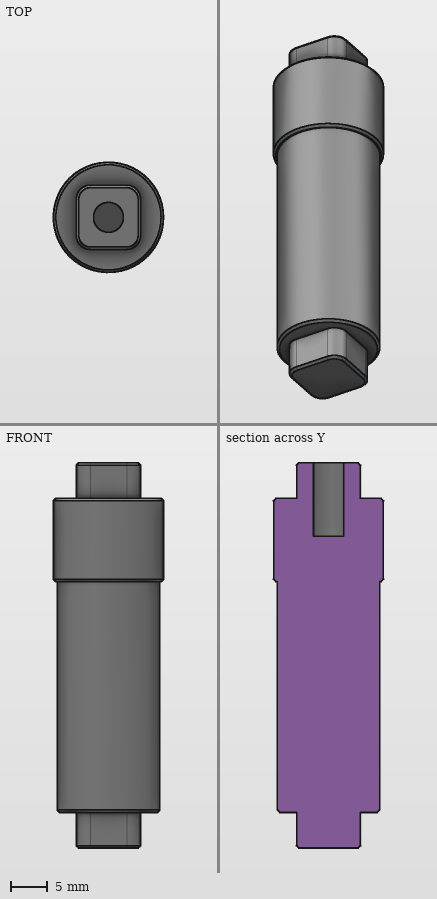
import cadquery as cq

total_height = 52.39
square_length = 4.83
collar_length = 11.37
collar_diameter = 15.0
body_diameter = 14.0
edge_chamfer = 0.35

square_width = 8.75
square_corner_radius = 1.9

hole_diameter = 4.07
hole_depth = 10.0

body_bottom = square_length
collar_top = total_height - square_length
collar_bottom = collar_top - collar_length


def turned_section(diameter, bottom, top):
    """Cylinder between two heights with both rims chamfered."""
    return (
        cq.Workplane("XY")
        .workplane(offset=bottom)
        .circle(diameter / 2)
        .extrude(top - bottom)
        .faces("<Z or >Z")
        .edges()
        .chamfer(edge_chamfer)
    )


def square_end(bottom, outer_face):
    """Round-cornered square drive with a chamfer around its outer face."""
    return (
        cq.Workplane("XY")
        .workplane(offset=bottom)
        .rect(square_width, square_width)
        .extrude(square_length)
        .edges("|Z")
        .fillet(square_corner_radius)
        .faces(outer_face)
        .edges()
        .chamfer(edge_chamfer)
    )


def top_hole():
    """Flat-bottomed hole sunk from the top face."""
    return (
        cq.Workplane("XY")
        .workplane(offset=total_height - hole_depth)
        .circle(hole_diameter / 2)
        .extrude(hole_depth)
    )


body = turned_section(body_diameter, body_bottom, collar_top)
collar = turned_section(collar_diameter, collar_bottom, collar_top)

result = (
    body.union(collar)
    .union(square_end(collar_top, ">Z"))
    .union(square_end(0, "<Z"))
    .cut(top_hole())
)